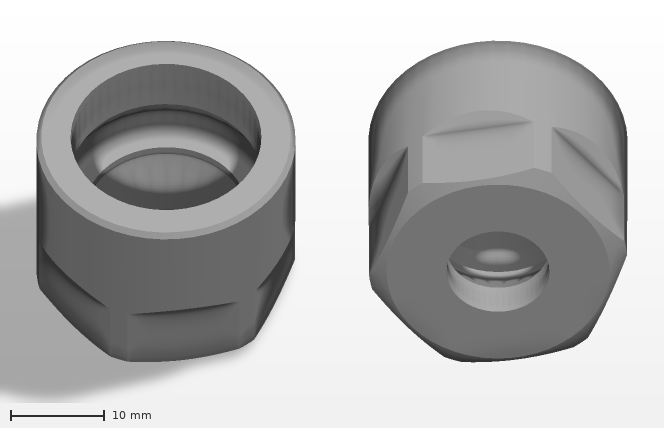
import cadquery as cq
import math

outer_diameter = 27.7
outer_radius = outer_diameter / 2
height = 22.7
top_chamfer_width = 0.53
bottom_chamfer_width = 1.95
bottom_chamfer_angle = 30.0
bottom_chamfer_height = bottom_chamfer_width * math.tan(math.radians(bottom_chamfer_angle))

flat_count = 6
across_flats = 24.93
flat_height = 9.0

bore_radius = 20.4 / 2
relief_radius = 22.5 / 2
seat_radius = 17.28 / 2
through_radius = 11.0 / 2
bore_bottom = 16.0
relief_top = 13.75
floor_height = 10.7
floor_fillet = 0.83
seat_wall_bottom = 9.85
seat_flare_width = 0.03
seat_cone_top = 9.58
seat_cone_radius = seat_radius + seat_flare_width
seat_cone_angle = 30.0
seat_cone_depth = (seat_cone_radius - through_radius) / math.tan(math.radians(seat_cone_angle))
seat_cone_bottom = seat_cone_top - seat_cone_depth


def make_body():
    """Turned outside shape with a chamfer at each end."""
    return (
        cq.Workplane("XZ")
        .moveTo(0, 0)
        .lineTo(outer_radius - bottom_chamfer_width, 0)
        .lineTo(outer_radius, bottom_chamfer_height)
        .lineTo(outer_radius, height - top_chamfer_width)
        .lineTo(outer_radius - top_chamfer_width, height)
        .lineTo(0, height)
        .close()
        .revolve(360, (0, 0, 0), (0, 1, 0))
    )


def make_bore():
    """Bore with a flared relief, a filleted floor and a slightly flared conical seat."""
    arc_middle = floor_fillet * (1 - math.sqrt(0.5))
    return (
        cq.Workplane("XZ")
        .moveTo(0, 0)
        .lineTo(through_radius, 0)
        .lineTo(through_radius, seat_cone_bottom)
        .lineTo(seat_cone_radius, seat_cone_top)
        .lineTo(seat_radius, seat_wall_bottom)
        .lineTo(seat_radius, floor_height)
        .lineTo(relief_radius - floor_fillet, floor_height)
        .threePointArc(
            (relief_radius - arc_middle, floor_height + arc_middle),
            (relief_radius, floor_height + floor_fillet),
        )
        .lineTo(relief_radius, relief_top)
        .lineTo(bore_radius, bore_bottom)
        .lineTo(bore_radius, height)
        .lineTo(0, height)
        .close()
        .revolve(360, (0, 0, 0), (0, 1, 0))
    )


def make_flat_cutter():
    """Cutter for the +X flat, with a 45 degree run-out at its upper end."""
    flat_distance = across_flats / 2
    cut_depth = outer_radius - flat_distance
    return (
        cq.Workplane("XZ")
        .moveTo(flat_distance, 0)
        .lineTo(outer_radius, 0)
        .lineTo(outer_radius, flat_height + cut_depth)
        .lineTo(flat_distance, flat_height)
        .close()
        .extrude(outer_radius, both=True)
    )


result = make_body().cut(make_bore())
flat_cutter = make_flat_cutter()
for index in range(flat_count):
    angle = index * 360 / flat_count
    result = result.cut(flat_cutter.rotate((0, 0, 0), (0, 0, 1), angle))